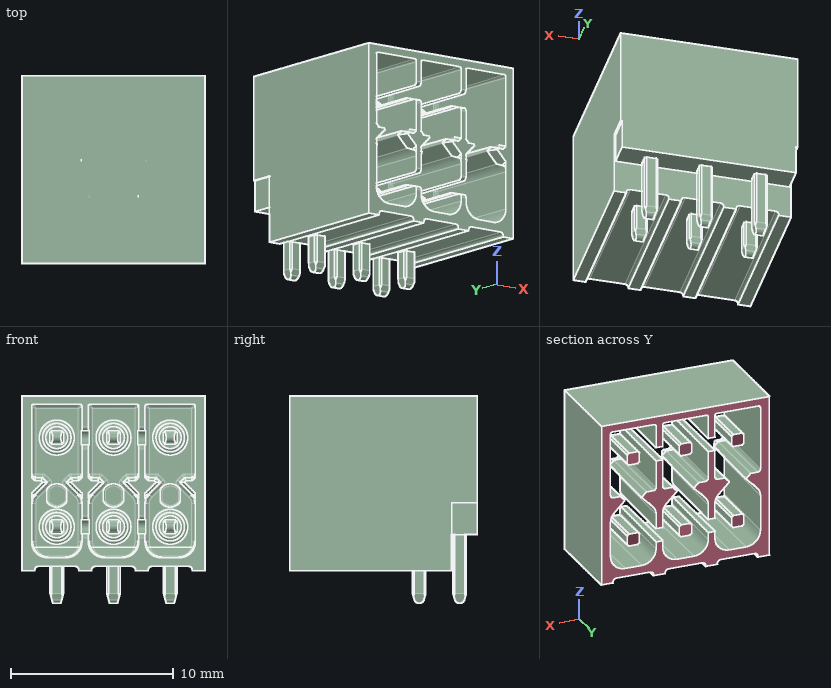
import cadquery as cq
import math


cell_count = 3
pitch = 3.5
cell_xs = [(i - (cell_count - 1) / 2) * pitch for i in range(cell_count)]
divider_xs = [(a + b) / 2 for a, b in zip(cell_xs, cell_xs[1:])]

housing_width = 11.3
housing_depth = 11.6
housing_height = 10.8
heel_front = 10.0
heel_bottom = 2.25
heel_top = 4.2
heel_inset = 0.1

channel_width = 2.7
channel_height = 0.28
channel_round = 0.22

cavity_half_width = 1.56
cavity_depth = 7.0
cavity_top = 10.3
cavity_bottom = 0.82
cavity_draft = 0.45
top_corner_round = 0.15
ledge_round = 0.22
shoulder_round = 0.8
bottom_round = 1.0
floor_round = 0.2
ramp_size = 0.66

tooth_tip_x = 0.6
tooth_tip_z = 5.47
tooth_ledge_rise = 0.29
lead_in_offset = 0.2
lead_in_length = 0.65
lead_in_margin = 0.3

window_height = 0.87
window_mouth_round = 0.24
window_end_gap = 0.4

collar_radius = 0.88
collar_height = 0.45
collar_round = 0.2
recess_radius = 0.72
recess_width = 1.26
recess_depth = 0.5
recess_z = 4.66
recess_round = 0.12

contact_size = 0.84
contact_chamfer = 0.12
contact_tip_y = 2.5
tail_bottom = -2.0
tip_length = 0.62
tip_width = 0.5
tip_nose_width = 0.62
tip_nose_length = 0.24

row_spacing = 5.5
lower_row_z = 2.73
upper_row_z = lower_row_z + row_spacing
lower_tail_y = 8.0
tail_spacing = 2.5
upper_tail_y = lower_tail_y + tail_spacing
contact_rows = [(lower_row_z, lower_tail_y), (upper_row_z, upper_tail_y)]


def mirrored(right_side):
    """Close a half outline given on the +X side, listed from top to bottom."""
    left_side = [(-x, z) for x, z in reversed(right_side)]
    return right_side + left_side


def tooth_points(offset):
    """Ridge and tip of a tooth on the +X side, with the tooth faces moved back by the offset."""
    tip_x = tooth_tip_x + offset * math.sqrt(2)
    ledge_z = tooth_tip_z + tooth_ledge_rise - offset
    return [(tip_x + ledge_z - tooth_tip_z, ledge_z), (tip_x, tooth_tip_z)]


def shoulder_point(offset, x):
    """Point at the given X on the sloping underside of a tooth."""
    tip_x, tip_z = tooth_points(offset)[1]
    return x, tip_z - (x - tip_x)


def wire_at(points, y):
    """Closed wire through (X, Z) points at the given Y."""
    return cq.Wire.makePolygon([cq.Vector(x, y, z) for x, z in points], close=True)


def rounded(wire, corners):
    """Round both mirrored copies of each listed corner of a wire in the front plane."""
    for (corner_x, corner_z), radius in corners:
        for x in (-corner_x, corner_x):
            corner = cq.Vector(x, 0, corner_z)
            vertex = min(wire.Vertices(), key=lambda v: (v.Center() - corner).Length)
            wire = wire.fillet2D(radius, [vertex])
    return wire


def drafted(wire):
    """Solid from a front outline back to the cavity floor, narrowing with the draft."""
    return cq.Workplane(
        obj=cq.Solid.extrudeLinear(wire, [], cq.Vector(0, cavity_depth, 0), cavity_draft)
    )


def lead_in():
    """Widening of the passage between the teeth towards the front."""
    outer_x = cavity_half_width + lead_in_margin
    ledge_start_x = cavity_half_width - ledge_round

    def passage(offset, shoulder_x):
        """Opening between the teeth, bevelled where their ledges meet the side walls."""
        ledge_z = tooth_points(offset)[0][1]
        return mirrored(
            [
                (outer_x, ledge_z + outer_x - ledge_start_x),
                (ledge_start_x, ledge_z),
                *tooth_points(offset),
                shoulder_point(offset, shoulder_x),
            ]
        )

    front = wire_at(passage(lead_in_offset, outer_x), 0)
    shoulder_start = shoulder_round * math.tan(math.pi / 8) / math.sqrt(2)
    back = wire_at(passage(0, cavity_half_width - shoulder_start), lead_in_length)
    plain = mirrored([(cavity_half_width, cavity_top), (cavity_half_width, cavity_bottom)])
    passage_loft = cq.Workplane(obj=cq.Solid.makeLoft([front, back], True))
    return passage_loft.intersect(drafted(wire_at(plain, 0)))


def cavity_shell():
    """Drafted cavity with rounded corners, before its floor is detailed."""
    top = (cavity_half_width, cavity_top)
    ledge = (cavity_half_width, tooth_tip_z + tooth_ledge_rise)
    shoulder = shoulder_point(0, cavity_half_width)
    bottom = (cavity_half_width, cavity_bottom)
    outline = wire_at(mirrored([top, ledge, *tooth_points(0), shoulder, bottom]), 0)
    corners = [
        (top, top_corner_round),
        (ledge, ledge_round),
        (shoulder, shoulder_round),
        (bottom, bottom_round),
    ]
    return drafted(rounded(outline, corners))


def collar(z):
    """Round collar standing on the cavity floor, flared at its foot and rounded at its rim."""
    rim_y = cavity_depth - collar_height
    foot_y = cavity_depth - collar_round
    profile = (
        cq.Workplane("XY")
        .moveTo(0, rim_y)
        .lineTo(collar_radius - collar_round, rim_y)
        .radiusArc((collar_radius, rim_y + collar_round), collar_round)
        .lineTo(collar_radius, foot_y)
        .radiusArc((collar_radius + collar_round, cavity_depth), -collar_round)
        .lineTo(0, cavity_depth)
        .close()
    )
    return profile.revolve(360, (0, 0, 0), (0, 1, 0)).translate((0, 0, z))


def floor_recess():
    """Shallow round recess with flattened sides in the cavity floor."""
    depth_plane = cq.Workplane("XZ", origin=(0, cavity_depth, recess_z))
    disc = depth_plane.circle(recess_radius).extrude(-recess_depth)
    slab = depth_plane.rect(recess_width, 2 * recess_radius).extrude(-recess_depth)
    return disc.intersect(slab).faces(">Y").edges().fillet(recess_round)


def cavity():
    """Hollow of one cell, centred on X = 0."""
    ramp = (
        cq.Workplane("YZ")
        .moveTo(cavity_depth - ramp_size, cavity_bottom)
        .lineTo(cavity_depth, cavity_bottom)
        .lineTo(cavity_depth, cavity_bottom + ramp_size)
        .close()
        .extrude(cavity_half_width, both=True)
    )
    hollow = cavity_shell().cut(ramp)
    floor_edges = hollow.faces(">Y").edges("not <Z")
    ramp_sides = hollow.edges("%ELLIPSE")
    hollow = floor_edges.add(ramp_sides).fillet(floor_round)
    for row_z, _ in contact_rows:
        hollow = hollow.cut(collar(row_z))
    return hollow.union(lead_in()).union(floor_recess())


def divider_window(x, z):
    """Window open to the front, with a round inner end and a flared mouth."""
    half_height = window_height / 2
    mouth = half_height + window_mouth_round
    half_reach = pitch / 2 - cavity_half_width + floor_round
    end_y = cavity_depth - window_end_gap
    return (
        cq.Workplane("YZ", origin=(x, 0, z))
        .moveTo(0, mouth)
        .radiusArc((window_mouth_round, half_height), -window_mouth_round)
        .lineTo(end_y - half_height, half_height)
        .threePointArc((end_y, 0), (end_y - half_height, -half_height))
        .lineTo(window_mouth_round, -half_height)
        .radiusArc((0, -mouth), -window_mouth_round)
        .close()
        .extrude(half_reach, both=True)
    )


def tapered_bar(length):
    """Square bar along +Z from a tip at Z = 0: tapered across X, rounded across Y."""
    half = contact_size / 2
    bar = (
        cq.Workplane("XY")
        .rect(contact_size, contact_size)
        .extrude(length)
        .edges("|Z")
        .chamfer(contact_chamfer)
    )
    taper = (
        cq.Workplane("XZ")
        .polyline(
            [
                (-tip_width / 2, 0),
                (tip_width / 2, 0),
                (half, tip_length),
                (half, length),
                (-half, length),
                (-half, tip_length),
            ]
        )
        .close()
        .extrude(contact_size, both=True)
    )
    nose = (
        cq.Workplane("YZ")
        .moveTo(-tip_nose_width / 2, tip_nose_length)
        .threePointArc((0, 0), (tip_nose_width / 2, tip_nose_length))
        .lineTo(half, tip_length)
        .lineTo(half, length)
        .lineTo(-half, length)
        .lineTo(-half, tip_length)
        .close()
        .extrude(contact_size, both=True)
    )
    return bar.intersect(taper).intersect(nose)


def contact(x, row_z, tail_y):
    """Angled contact: a pin facing the front and a solder tail pointing down."""
    half = contact_size / 2
    pin = tapered_bar(tail_y + half - contact_tip_y).rotate((0, 0, 0), (1, 0, 0), -90)
    pin = pin.translate((x, contact_tip_y, row_z))
    tail = tapered_bar(row_z + half - tail_bottom).translate((x, tail_y, tail_bottom))
    return pin.union(tail)


def housing_block():
    """Outer block with its stepped heel at the lower rear."""
    body = (
        cq.Workplane("YZ")
        .polyline(
            [
                (0, 0),
                (heel_front, 0),
                (heel_front, heel_top),
                (housing_depth, heel_top),
                (housing_depth, housing_height),
                (0, housing_height),
            ]
        )
        .close()
        .extrude(housing_width / 2, both=True)
    )
    heel = cq.Workplane("XY").box(
        housing_width - 2 * heel_inset,
        housing_depth - heel_front,
        heel_top - heel_bottom,
        centered=(True, False, False),
    )
    return body.union(heel.translate((0, heel_front, heel_bottom)))


def foot_channel():
    """Round-cornered channel that leaves the feet standing on either side of it."""
    channel = cq.Workplane("XY").box(
        channel_width, housing_depth, channel_height, centered=(True, False, False)
    )
    return channel.edges("|Y and >Z").fillet(channel_round)


contacts = [contact(x, row_z, tail_y) for x in cell_xs for row_z, tail_y in contact_rows]

housing = housing_block()
cell_cavity = cavity()
cell_channel = foot_channel()
for cell_x in cell_xs:
    housing = housing.cut(cell_cavity.translate((cell_x, 0, 0)))
    housing = housing.cut(cell_channel.translate((cell_x, 0, 0)))
for divider_x in divider_xs:
    for row_z, _ in contact_rows:
        housing = housing.cut(divider_window(divider_x, row_z))
for body in contacts:
    housing = housing.cut(body)

result = cq.Compound.makeCompound([housing.val(), *[body.val() for body in contacts]])